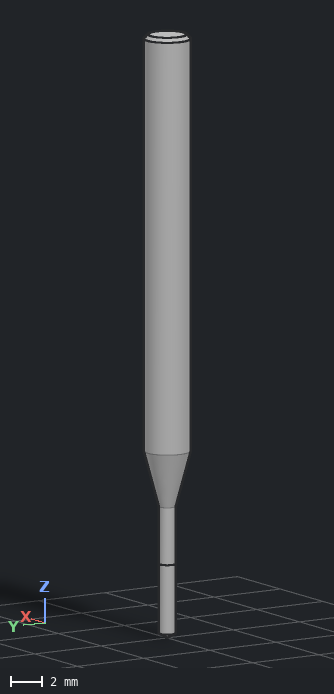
import cadquery as cq

total_length = 39.0
shank_diameter = 3.0
bit_diameter = 1.1

tip_height = 0.3
bit_top = 4.8
taper_bottom = 8.5
taper_top = 12.1

shank_chamfer = 0.27

shank_radius = shank_diameter / 2
bit_radius = bit_diameter / 2


def revolve_about_z(outline):
    """Revolve a closed (radius, height) outline a full turn about Z."""
    return cq.Workplane("XZ").polyline(outline).close().revolve(360, (0, 0), (0, 1))


def make_shank():
    """Chamfered shank that tapers down to a neck as thin as the bit."""
    return revolve_about_z([
        (0, bit_top),
        (bit_radius, bit_top),
        (bit_radius, taper_bottom),
        (shank_radius, taper_top),
        (shank_radius, total_length - shank_chamfer),
        (shank_radius - shank_chamfer, total_length),
        (0, total_length),
    ])


def make_bit():
    """Cylindrical cutting bit with a conical tip, butted against the neck."""
    return revolve_about_z([
        (0, 0),
        (bit_radius, tip_height),
        (bit_radius, bit_top),
        (0, bit_top),
    ])


shank = make_shank()
bit = make_bit()

result = cq.Compound.makeCompound([shank.val(), bit.val()])